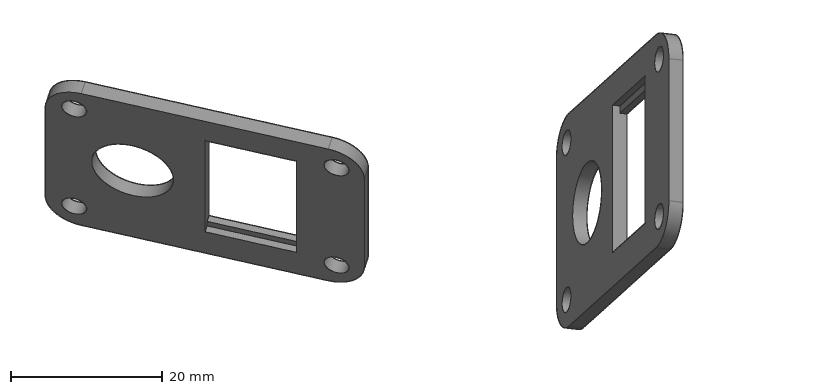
import cadquery as cq

plate_length = 43.8
plate_height = 29.8
plate_thickness = 2.0
corner_radius = 4.95

round_holes_z = 0.1

mount_diameter = 3.4
mount_spacing_x = 36.0
mount_spacing_z = 22.0
mount_center_x = 0.1

round_diameter = 11.2
round_x = -9.9

window_width = 12.53
window_height = 20.6
window_x = 6.3
window_z = 0.2
ledge_height = 1.0
ledge_thickness = 1.0

front_y = -plate_thickness / 2
back_y = plate_thickness / 2


def box_cut(width, depth, height):
    """Box centred on the window in X and Z, running back from the front face."""
    return (
        cq.Workplane("XY")
        .box(width, depth, height, centered=(True, False, True))
        .translate((window_x, front_y, window_z))
    )


def round_cut(diameter, x, z):
    """Cylinder along Y that passes through the whole plate."""
    return (
        cq.Workplane("XZ", origin=(x, back_y, z))
        .circle(diameter / 2)
        .extrude(plate_thickness)
    )


plate = (
    cq.Workplane("XY")
    .box(plate_length, plate_thickness, plate_height)
    .edges("|Y")
    .fillet(corner_radius)
)

plate = plate.cut(box_cut(window_width, plate_thickness - ledge_thickness, window_height))
plate = plate.cut(box_cut(window_width, plate_thickness, window_height - 2 * ledge_height))

plate = plate.cut(round_cut(round_diameter, round_x, round_holes_z))

for side_x in (-1, 1):
    for side_z in (-1, 1):
        hole_x = mount_center_x + side_x * mount_spacing_x / 2
        hole_z = round_holes_z + side_z * mount_spacing_z / 2
        plate = plate.cut(round_cut(mount_diameter, hole_x, hole_z))

result = plate